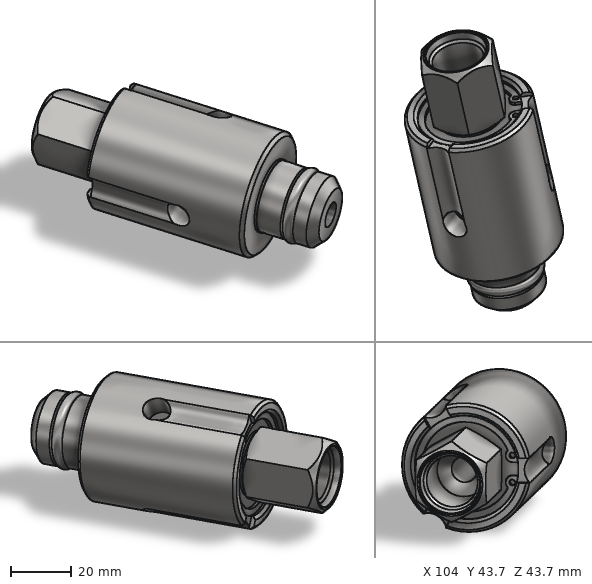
import cadquery as cq
import math

total_length = 104.0

barrel_front = 24.5
barrel_back = 82.0
barrel_radius = 43.73 / 2
barrel_front_chamfer = 1.0
barrel_back_chamfer = 1.25

recess_mouth_radius = 37.25 / 2
recess_radius = 35.08 / 2
recess_chamfer = recess_mouth_radius - recess_radius
ring_front = barrel_front + 2.0
ring_thickness = 1.2
recess_floor = ring_front + ring_thickness
ring_inner_radius = 15.25
ear_centre_y = -15.4
ear_centre_z = 4.6
ear_radius = 2.3
ear_hole_diameter = 1.98

keyway_angles = (60, 180, 300)
keyway_width = 8.5
keyway_cutter_radius = 6.0
keyway_floor_radius = 19.6
notch_depth = 1.6
notch_inner_radius = 16.5
cross_hole_diameter = 9.0
cross_hole_x = 58.0
cross_hole_floor_radius = 13.8

hex_across_flats = 23.85
hex_corner_radius = hex_across_flats / 2 / math.cos(math.pi / 6)
hex_face_radius = 11.1
hex_chamfer = hex_corner_radius - hex_face_radius
hex_back_corner_x = barrel_front + 0.4
hex_back_chamfer_angle = math.radians(36)
hex_back_end = hex_back_corner_x + hex_chamfer * math.tan(hex_back_chamfer_angle)

bore_mouth_radius = 10.5
thread_mouth_radius = 10.2
thread_inner_radius = 9.55
socket_radius = 17.32 / 2
through_radius = 8.7 / 2
mouth_chamfer = bore_mouth_radius - thread_mouth_radius
thread_taper_end = 2.6
socket_start = thread_taper_end + thread_inner_radius - socket_radius
socket_end = 20.0
drill_point_half_angle = math.radians(59)
drill_point_end = socket_end + (socket_radius - through_radius) / math.tan(drill_point_half_angle)

spigot_radius = 24.96 / 2
collar_radius = spigot_radius + 0.3
collar_length = 0.8
spigot_chamfer = 3.2
seal_groove_centre = 93.65
seal_groove_width = 4.6
seal_groove_radius = 19.23 / 2
seal_section_radius = 3.53 / 2
seal_centre_radius = seal_groove_radius + seal_section_radius


def revolve_about_x(points):
    """Solid of revolution about X from (x, radius) points."""
    return cq.Workplane("XY").polyline(points).close().revolve(360, (0, 0, 0), (1, 0, 0))


def tube_section(start, length, radius):
    """Cylinder along X."""
    return cq.Workplane("YZ", origin=(start, 0, 0)).circle(radius).extrude(length)


def make_barrel():
    """Chamfered barrel with the open recess in its front face."""
    return revolve_about_x([
        (recess_floor, 0),
        (recess_floor, recess_radius),
        (barrel_front + recess_chamfer, recess_radius),
        (barrel_front, recess_mouth_radius),
        (barrel_front, barrel_radius - barrel_front_chamfer),
        (barrel_front + barrel_front_chamfer, barrel_radius),
        (barrel_back - barrel_back_chamfer, barrel_radius),
        (barrel_back, barrel_radius - barrel_back_chamfer),
        (barrel_back, 0),
    ])


def make_retaining_ring():
    """Open ring with two eared ends, each ear pierced by a small hole."""
    ear_points = [(ear_centre_y, ear_centre_z), (ear_centre_y, -ear_centre_z)]
    gap_half_width = ear_centre_z - ear_radius
    plane = cq.Workplane("YZ", origin=(ring_front, 0, 0))
    ring = plane.circle(recess_radius).circle(ring_inner_radius).extrude(ring_thickness)
    ears = plane.pushPoints(ear_points).circle(ear_radius).extrude(ring_thickness)
    ears = ears.intersect(tube_section(ring_front, ring_thickness, recess_radius))
    gap = plane.center(-recess_radius, 0).rect(recess_radius, 2 * gap_half_width).extrude(ring_thickness)
    holes = plane.pushPoints(ear_points).circle(ear_hole_diameter / 2).extrude(ring_thickness)
    return ring.union(ears).cut(gap).cut(holes)


def make_keyway_cutter():
    """Front notch, scooped groove and blind radial hole, placed on the +Y side."""
    notch = cq.Workplane("XY").box(
        notch_depth, barrel_radius, keyway_width, centered=(False, False, True)
    ).translate((barrel_front, notch_inner_radius, 0))
    groove = (
        cq.Workplane("YZ", origin=(barrel_front, 0, 0))
        .center(keyway_floor_radius + keyway_cutter_radius, 0)
        .circle(keyway_cutter_radius)
        .extrude(cross_hole_x - barrel_front)
    )
    hole = (
        cq.Workplane("XZ", origin=(cross_hole_x, cross_hole_floor_radius, 0))
        .circle(cross_hole_diameter / 2)
        .extrude(-barrel_radius)
    )
    return notch.union(groove).union(hole)


def make_hex_end():
    """Hexagonal prism with corners up and down, its corners turned off at both ends, on a round neck."""
    prism = (
        cq.Workplane("YZ")
        .polygon(6, 2 * hex_corner_radius)
        .extrude(recess_floor)
        .rotate((0, 0, 0), (1, 0, 0), 90)
    )
    turned = revolve_about_x([
        (0, 0),
        (0, hex_face_radius),
        (hex_chamfer, hex_corner_radius),
        (hex_back_corner_x, hex_corner_radius),
        (hex_back_end, hex_face_radius),
        (recess_floor, hex_face_radius),
        (recess_floor, 0),
    ])
    return prism.intersect(turned)


def make_spigot():
    """Stepped spigot with the seal groove and a chamfered nose."""
    groove_start = seal_groove_centre - seal_groove_width / 2
    groove_end = groove_start + seal_groove_width
    collar_end = barrel_back + collar_length
    return revolve_about_x([
        (barrel_back, 0),
        (barrel_back, collar_radius),
        (collar_end, collar_radius),
        (collar_end, spigot_radius),
        (groove_start, spigot_radius),
        (groove_start, seal_groove_radius),
        (groove_end, seal_groove_radius),
        (groove_end, spigot_radius),
        (total_length - spigot_chamfer, spigot_radius),
        (total_length, spigot_radius - spigot_chamfer),
        (total_length, 0),
    ])


def make_bore_cutter():
    """Tapered thread mouth, socket with drill point, and through bore."""
    return revolve_about_x([
        (0, 0),
        (0, bore_mouth_radius),
        (mouth_chamfer, thread_mouth_radius),
        (thread_taper_end, thread_inner_radius),
        (socket_start, socket_radius),
        (socket_end, socket_radius),
        (drill_point_end, through_radius),
        (total_length, through_radius),
        (total_length, 0),
    ])


def make_coupling():
    """Complete coupling body without its seal."""
    body = make_barrel().union(make_retaining_ring())
    for angle in keyway_angles:
        body = body.cut(make_keyway_cutter().rotate((0, 0, 0), (1, 0, 0), angle))
    return body.union(make_hex_end()).union(make_spigot()).cut(make_bore_cutter())


def make_seal_ring():
    """O-ring resting on the floor of the seal groove."""
    return (
        cq.Workplane("XY")
        .center(seal_groove_centre, seal_centre_radius)
        .circle(seal_section_radius)
        .revolve(360, (0, -seal_centre_radius, 0), (1, -seal_centre_radius, 0))
    )


coupling = make_coupling()
seal_ring = make_seal_ring()

result = cq.Compound.makeCompound([coupling.val(), seal_ring.val()])